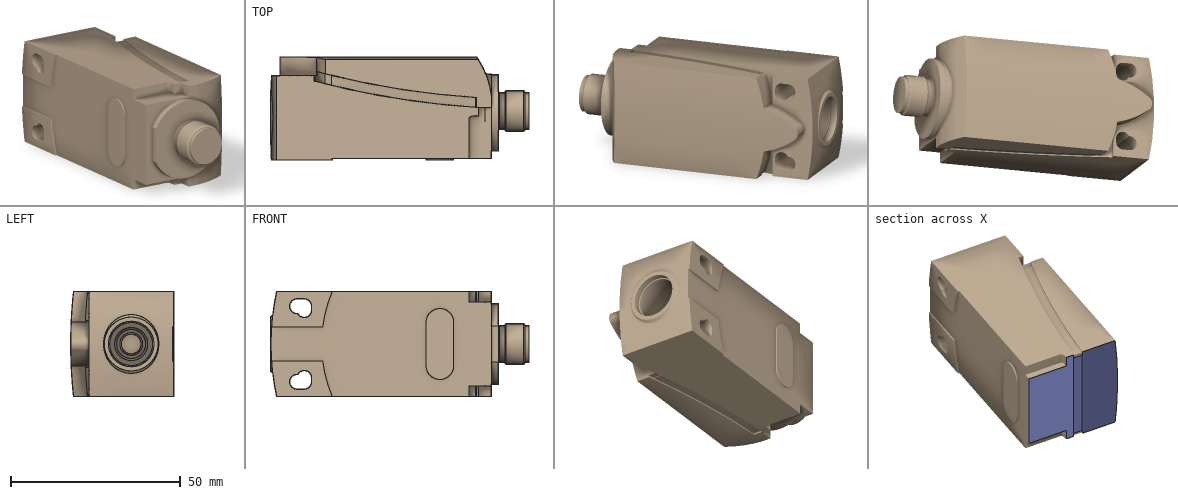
import cadquery as cq
import math


LENGTH = 76.2
HEIGHT = 30.4
WIDTH = 31.0
HALF_WIDTH = WIDTH / 2
BODY_END_X = 65.1

FACE_APEX_X = 0.2
FACE_CORNER_X = 1.8
HOUSING_TOP = 24.9
STEP_X = 12.9
PARTING_END_Y = 15.55

PAD_RAISE = 0.45
CHANNEL_HALF_WIDTH = 4.95
PAD_APEX_X = 15.1
END_CURVE_RADIUS = 39.6

HOLE_RADIUS = 2.1
HOLE_X = 10.0
HOLE_INNER_Z = 10.0
HOLE_OUTER_Z = 11.1
HOLE_STRETCH = 2.1

BORE_Y = 12.6
BOSS_RADIUS = 7.9
BOSS_FLARE = 1.5
BORE_MOUTH_RADIUS = 6.7
BORE_MOUTH_DEPTH = 2.0
BORE_RADIUS = 6.3
BORE_DEPTH = 13.7
PLUNGER_HOLE_RADIUS = 4.3
PLUNGER_HOLE_CHAMFER = 0.6
PLUNGER_HOLE_DEPTH = 3.8
PLUNGER_RADIUS = 3.35
PLUNGER_CHAMFER = 0.45
PLUNGER_LENGTH = PLUNGER_HOLE_DEPTH

NOTCH_X = 58.45
NOTCH_DEPTH = 3.2
HOOK_X = 61.35
HOOK_Y = 12.95
HOOK_CURVE_START_Y = 12.35
HOOK_CURVE_MID = (58.8, 12.7)
HOOK_CURVE_END_X = 59.5
HOOK_GROOVE_X = 60.5
HOOK_GROOVE_WIDTH = 0.3
HOOK_GROOVE_DEPTH = 0.15

PLATE_X = 49.9
PLATE_WIDTH = 8.15
PLATE_LENGTH = 20.9

GASKET_THICKNESS = 2.9
GASKET_INSET = 0.4
SEAT_END_X = 60.65
REBATE_WIDTH = 0.3
REBATE_DEPTH = 0.8
GASKET_STEP_X = 18.05
GASKET_STEP = 0.15
ARC_START_Y = 23.3
ARC_MID = (35.05, 18.5)
SEAT_TOP_START_Y = 26.05
SEAT_TOP_MID = (ARC_MID[0], ARC_MID[1] + GASKET_THICKNESS)
SEAT_TOP_END_Y = PARTING_END_Y + GASKET_THICKNESS

SHOULDER_APEX_X = 13.1
COVER_EDGE_Y = 29.6
COVER_TOP_END_X = 60.7
COVER_NOSE_MID = (63.5, 25.3)
COVER_NOSE_END_Y = 18.9
TONGUE_TIP_X = 2.8
TONGUE_NOSE_X = 4.0
TONGUE_NOSE_HALF = 2.0
TONGUE_FLANK_MID = (8.5, 4.8)
TONGUE_ROOT_X = 13.7
TONGUE_ROOT_HALF = 6.55

FLANGE_Y = 13.3
FLANGE_RADIUS = 11.9
FLANGE_FLAT_Y = 2.7
FLANGE_END_X = 67.1
SKIRT_START_X = 63.2
SKIRT_END_X = 64.3
SKIRT_RADIUS = 12.05
SKIRT_FLARE_RADIUS = 12.2

CONNECTOR_Y = 14.5
CONNECTOR_RADIUS = 5.4
CONNECTOR_FOOT = 0.3
RING_RADIUS = 6.0
RING_START_X = 69.0
RING_END_X = 75.0
RING_CHAMFER = 0.4


def xy_prism(outline):
    """Extrude a closed XY outline over the full body width."""
    return outline.extrude(HALF_WIDTH, both=True)


def x_cylinder(x, y, radius, length):
    """Cylinder along +X starting at x."""
    return cq.Workplane("YZ", origin=(x, y, 0)).circle(radius).extrude(length)


def x_revolve(profile, y):
    """Turn an (x, radius) profile about the line along X at height y."""
    outline = cq.Workplane("XY", origin=(0, y, 0)).polyline(profile).close()
    return outline.revolve(360, (0, 0, 0), (1, 0, 0))


def end_curve_x(apex_x, z):
    """X of the shared end curve at distance z from the middle plane."""
    return apex_x + END_CURVE_RADIUS - math.sqrt(END_CURVE_RADIUS**2 - z**2)


def curved_end_plan(apex_x, end_x, half_width):
    """XZ outline with an outward curved end, lying in the plane Y = 0."""
    corner_x = end_curve_x(apex_x, half_width)
    return (
        cq.Workplane("XZ")
        .moveTo(corner_x, -half_width)
        .threePointArc((apex_x, 0), (corner_x, half_width))
        .lineTo(end_x, half_width)
        .lineTo(end_x, -half_width)
        .close()
    )


def make_housing_block():
    plan = (
        cq.Workplane("XZ")
        .moveTo(FACE_CORNER_X, -HALF_WIDTH)
        .threePointArc((FACE_APEX_X, 0), (FACE_CORNER_X, HALF_WIDTH))
        .lineTo(BODY_END_X, HALF_WIDTH)
        .lineTo(BODY_END_X, -HALF_WIDTH)
        .close()
        .extrude(-HOUSING_TOP)
    )
    side = xy_prism(
        cq.Workplane("XY")
        .lineTo(0, HOUSING_TOP)
        .lineTo(STEP_X, HOUSING_TOP)
        .lineTo(STEP_X, ARC_START_Y)
        .threePointArc(ARC_MID, (SEAT_END_X, PARTING_END_Y))
        .lineTo(BODY_END_X, PARTING_END_Y)
        .lineTo(BODY_END_X, 0)
        .close()
    )
    return plan.intersect(side)


def make_pad_relief():
    """Material removed from the mounting face to leave the two pads standing."""
    beyond_pads = curved_end_plan(PAD_APEX_X, BODY_END_X, HALF_WIDTH).extrude(-PAD_RAISE)
    channel_length = end_curve_x(PAD_APEX_X, CHANNEL_HALF_WIDTH)
    channel = cq.Workplane("XY").box(
        channel_length, PAD_RAISE, 2 * CHANNEL_HALF_WIDTH, centered=(False, False, True)
    )
    return beyond_pads.union(channel)


def make_mounting_hole(side):
    """Keyhole-like hole through the housing; side is +1 or -1 along Z."""
    depth = HOUSING_TOP
    outer_z = side * HOLE_OUTER_Z
    inner_z = side * HOLE_INNER_Z
    slot = (
        cq.Workplane("XZ")
        .center(HOLE_X - HOLE_STRETCH / 2, outer_z)
        .slot2D(HOLE_STRETCH + 2 * HOLE_RADIUS, 2 * HOLE_RADIUS)
        .extrude(-depth)
    )
    cross_slot = (
        cq.Workplane("XZ")
        .center(HOLE_X, (outer_z + inner_z) / 2)
        .slot2D(HOLE_OUTER_Z - HOLE_INNER_Z + 2 * HOLE_RADIUS, 2 * HOLE_RADIUS, 90)
        .extrude(-depth)
    )
    return slot.union(cross_slot)


def make_corner_notch(side):
    """Corner cut below the hook; side is +1 or -1 along Z."""
    groove_start_x = HOOK_GROOVE_X - HOOK_GROOVE_WIDTH / 2
    groove_end_x = HOOK_GROOVE_X + HOOK_GROOVE_WIDTH / 2
    outline = (
        cq.Workplane("XY", origin=(0, 0, side * (HALF_WIDTH - NOTCH_DEPTH)))
        .moveTo(NOTCH_X, 0)
        .lineTo(NOTCH_X, HOOK_CURVE_START_Y)
        .threePointArc(HOOK_CURVE_MID, (HOOK_CURVE_END_X, HOOK_Y))
        .lineTo(groove_start_x, HOOK_Y)
        .lineTo(groove_start_x, HOOK_Y + HOOK_GROOVE_DEPTH)
        .lineTo(groove_end_x, HOOK_Y + HOOK_GROOVE_DEPTH)
        .lineTo(groove_end_x, HOOK_Y)
        .lineTo(HOOK_X, HOOK_Y)
        .lineTo(HOOK_X, PARTING_END_Y)
        .lineTo(BODY_END_X, PARTING_END_Y)
        .lineTo(BODY_END_X, 0)
        .close()
    )
    return outline.extrude(side * NOTCH_DEPTH)


def make_boss():
    flare_radius = BOSS_RADIUS + BOSS_FLARE
    return x_revolve([(0, 0), (0, BOSS_RADIUS), (BOSS_FLARE, flare_radius), (BOSS_FLARE, 0)], BORE_Y)


def make_head_bore():
    """Stepped bore with a chamfered plunger hole in its floor."""
    hole_end_x = BORE_DEPTH + PLUNGER_HOLE_DEPTH
    chamfer_radius = PLUNGER_HOLE_RADIUS + PLUNGER_HOLE_CHAMFER
    profile = [
        (0, 0),
        (0, BORE_MOUTH_RADIUS),
        (BORE_MOUTH_DEPTH, BORE_MOUTH_RADIUS),
        (BORE_MOUTH_DEPTH, BORE_RADIUS),
        (BORE_DEPTH, BORE_RADIUS),
        (BORE_DEPTH, chamfer_radius),
        (BORE_DEPTH + PLUNGER_HOLE_CHAMFER, PLUNGER_HOLE_RADIUS),
        (hole_end_x, PLUNGER_HOLE_RADIUS),
        (hole_end_x, 0),
    ]
    return x_revolve(profile, BORE_Y)


def make_flange():
    """Disc with one flat and a flared skirt that sits in the body end."""
    profile = [
        (SKIRT_START_X, 0),
        (SKIRT_START_X, SKIRT_FLARE_RADIUS),
        (SKIRT_END_X, SKIRT_RADIUS),
        (BODY_END_X, SKIRT_RADIUS),
        (BODY_END_X, FLANGE_RADIUS),
        (FLANGE_END_X, FLANGE_RADIUS),
        (FLANGE_END_X, 0),
    ]
    above_flat = cq.Workplane("XY", origin=(0, FLANGE_FLAT_Y, 0)).box(
        LENGTH, HEIGHT, WIDTH, centered=(False, False, True)
    )
    return x_revolve(profile, FLANGE_Y).intersect(above_flat)


def make_housing(flange):
    housing = make_housing_block().cut(make_pad_relief()).union(make_boss())
    for side in (1, -1):
        housing = housing.cut(make_mounting_hole(side)).cut(make_corner_notch(side))
    return housing.cut(make_head_bore()).cut(flange)


def make_gasket():
    """Slab of constant height between two parallel arcs, slightly narrower than the body."""
    slab = xy_prism(
        cq.Workplane("XY")
        .moveTo(STEP_X, ARC_START_Y)
        .threePointArc(ARC_MID, (SEAT_END_X, PARTING_END_Y))
        .lineTo(SEAT_END_X, SEAT_TOP_END_Y)
        .threePointArc(SEAT_TOP_MID, (TONGUE_ROOT_X, SEAT_TOP_START_Y))
        .lineTo(TONGUE_ROOT_X, HOUSING_TOP)
        .lineTo(STEP_X, HOUSING_TOP)
        .close()
    )
    half_width = HALF_WIDTH - GASKET_INSET
    plan = curved_end_plan(SHOULDER_APEX_X, SEAT_END_X, half_width).extrude(-HEIGHT)
    gasket = slab.intersect(plan)
    step = cq.Workplane("XY").box(GASKET_STEP_X, HEIGHT, GASKET_STEP, centered=(False, False, True))
    rebate = cq.Workplane("XY", origin=(SEAT_END_X - REBATE_WIDTH, 0, 0)).box(
        REBATE_WIDTH, HEIGHT, REBATE_DEPTH, centered=(False, False, True)
    )
    for side in (1, -1):
        gasket = gasket.cut(step.translate((0, 0, side * (half_width - GASKET_STEP / 2))))
        gasket = gasket.cut(rebate.translate((0, 0, side * (half_width - REBATE_DEPTH / 2))))
    return gasket


def make_cover_plan():
    """Cover seen along Y: shouldered body with a pointed tongue, extruded to full height."""
    body = curved_end_plan(SHOULDER_APEX_X, BODY_END_X, HALF_WIDTH).extrude(-HEIGHT)
    flank_x, flank_z = TONGUE_FLANK_MID
    inside_body_x = TONGUE_ROOT_X + TONGUE_ROOT_HALF
    tongue = (
        cq.Workplane("XZ")
        .moveTo(TONGUE_NOSE_X, -TONGUE_NOSE_HALF)
        .threePointArc((TONGUE_TIP_X, 0), (TONGUE_NOSE_X, TONGUE_NOSE_HALF))
        .threePointArc(TONGUE_FLANK_MID, (TONGUE_ROOT_X, TONGUE_ROOT_HALF))
        .lineTo(inside_body_x, TONGUE_ROOT_HALF)
        .lineTo(inside_body_x, -TONGUE_ROOT_HALF)
        .lineTo(TONGUE_ROOT_X, -TONGUE_ROOT_HALF)
        .threePointArc((flank_x, -flank_z), (TONGUE_NOSE_X, -TONGUE_NOSE_HALF))
        .close()
        .extrude(-HEIGHT)
    )
    return body.union(tongue)


def make_cover(flange):
    side = xy_prism(
        cq.Workplane("XY")
        .moveTo(0, HEIGHT)
        .lineTo(0, HOUSING_TOP)
        .lineTo(TONGUE_ROOT_X, HOUSING_TOP)
        .lineTo(TONGUE_ROOT_X, SEAT_TOP_START_Y)
        .threePointArc(SEAT_TOP_MID, (SEAT_END_X, SEAT_TOP_END_Y))
        .lineTo(SEAT_END_X, PARTING_END_Y)
        .lineTo(BODY_END_X, PARTING_END_Y)
        .lineTo(BODY_END_X, COVER_NOSE_END_Y)
        .threePointArc(COVER_NOSE_MID, (COVER_TOP_END_X, HEIGHT))
        .close()
    )
    crown = (
        cq.Workplane("YZ")
        .moveTo(0, -HALF_WIDTH)
        .lineTo(COVER_EDGE_Y, -HALF_WIDTH)
        .threePointArc((HEIGHT, 0), (COVER_EDGE_Y, HALF_WIDTH))
        .lineTo(0, HALF_WIDTH)
        .close()
        .extrude(LENGTH)
    )
    return make_cover_plan().intersect(side).intersect(crown).cut(flange)


def make_plunger():
    """Pin standing on the floor of the plunger hole, flush with the bore floor."""
    pin = x_cylinder(BORE_DEPTH, BORE_Y, PLUNGER_RADIUS, PLUNGER_LENGTH)
    return pin.faces("<X").chamfer(PLUNGER_CHAMFER)


def make_oval_plate():
    """Thin plate lying on the recessed mounting face, level with the pads."""
    outline = cq.Workplane("XZ").center(PLATE_X, 0).slot2D(PLATE_LENGTH, PLATE_WIDTH, 90)
    return outline.extrude(-PAD_RAISE)


def make_ring():
    length = RING_END_X - RING_START_X
    ring = x_cylinder(RING_START_X, CONNECTOR_Y, RING_RADIUS, length)
    ring = ring.faces("<X or >X").chamfer(RING_CHAMFER)
    return ring.cut(x_cylinder(RING_START_X, CONNECTOR_Y, CONNECTOR_RADIUS, length))


def make_connector():
    """Round connector barrel with a small flared foot on the flange."""
    profile = [
        (FLANGE_END_X, 0),
        (FLANGE_END_X, CONNECTOR_RADIUS + CONNECTOR_FOOT),
        (FLANGE_END_X + CONNECTOR_FOOT, CONNECTOR_RADIUS),
        (LENGTH, CONNECTOR_RADIUS),
        (LENGTH, 0),
    ]
    return x_revolve(profile, CONNECTOR_Y)


flange = make_flange()
housing = make_housing(flange)
gasket = make_gasket()
cover = make_cover(flange)
plunger = make_plunger()
oval_plate = make_oval_plate()
connector = make_connector()
ring = make_ring()

result = cq.Compound.makeCompound(
    [
        housing.val(),
        gasket.val(),
        cover.val(),
        plunger.val(),
        oval_plate.val(),
        flange.val(),
        connector.val(),
        ring.val(),
    ]
)